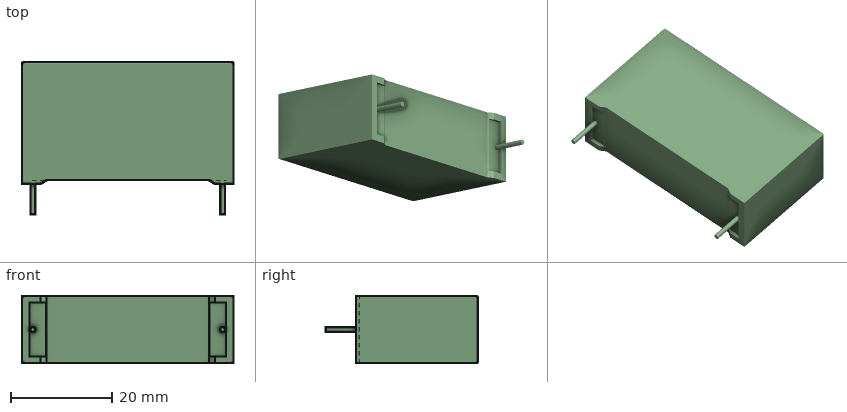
import cadquery as cq

case_length = 41.8
case_depth = 24.1
case_height = 13.3
back_edge_radius = 0.5

relief_depth = 0.75
foot_length = 3.7
slope_length = 1.2

pocket_depth = 0.7
pocket_side_wall = 1.5
pocket_end_wall = 1.35
pocket_length = 3.25

lead_pitch = 37.5
lead_diameter = 1.0
lead_reach = 6.0

half_length = case_length / 2
sides = (-1, 1)


def make_case():
    """Box with a rounded back rim, a relief between the feet and two lead pockets."""
    foot_end = half_length - foot_length
    relief_end = foot_end - slope_length
    case = (
        cq.Workplane("XY")
        .workplane(offset=-case_height / 2)
        .moveTo(-half_length, 0)
        .lineTo(-foot_end, 0)
        .lineTo(-relief_end, relief_depth)
        .lineTo(relief_end, relief_depth)
        .lineTo(foot_end, 0)
        .lineTo(half_length, 0)
        .lineTo(half_length, case_depth)
        .lineTo(-half_length, case_depth)
        .close()
        .extrude(case_height)
    )
    case = case.faces(">Y").edges().fillet(back_edge_radius)

    pocket_height = case_height - 2 * pocket_end_wall
    pocket_center = half_length - pocket_side_wall - pocket_length / 2
    for side in sides:
        pocket = cq.Workplane("XY").box(
            pocket_length, pocket_depth, pocket_height, centered=(True, False, True)
        )
        case = case.cut(pocket.translate((side * pocket_center, 0, 0)))
    return case


def make_lead(side):
    """Straight wire running in -Y from the pocket floor on the given side."""
    return (
        cq.Workplane("XZ", origin=(side * lead_pitch / 2, pocket_depth, 0))
        .circle(lead_diameter / 2)
        .extrude(pocket_depth + lead_reach)
    )


case = make_case()
leads = [make_lead(side) for side in sides]

result = cq.Compound.makeCompound([case.val(), *[lead.val() for lead in leads]])